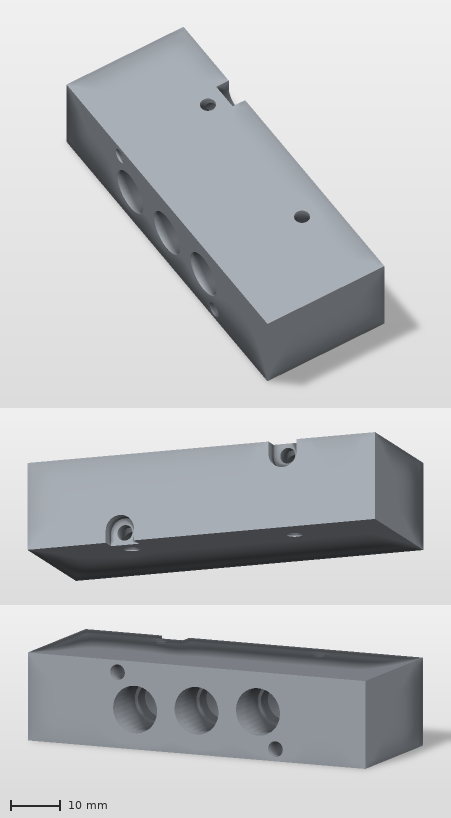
import cadquery as cq
import math

LENGTH = 74.6
WIDTH = 28.0
HEIGHT = 18.0
FRONT_Y = -WIDTH / 2
BACK_Y = WIDTH / 2

CAP_LENGTH = 12.9
BODY_LENGTH = LENGTH - 2 * CAP_LENGTH

PORT_SPACING = 13.6
PORT_RISE = 0.8
PORT_MOUTH_DIAMETER = 9.7
PORT_SEAT_DIAMETER = 9.25
PORT_MOUTH_DEPTH = 10.0
PORT_DRILL_DIAMETER = 7.9
PORT_DRILL_DEPTH = 13.4
PORT_TIP_ANGLE = 120.0
PORT_TIP_DEPTH = PORT_DRILL_DIAMETER / 2 / math.tan(math.radians(PORT_TIP_ANGLE / 2))

MOUNT_DIAMETER = 3.2
MOUNT_X = 17.45
FRONT_MOUNT_Z = 6.5
TOP_MOUNT_BACK_DISTANCE = 6.95
TOP_MOUNT_Y = BACK_Y - TOP_MOUNT_BACK_DISTANCE

RECESS_WIDTH = 6.05
RECESS_DEPTH = 3.0


def make_port_cutter(x, z):
    """Port revolved about its own axis, running from the front face towards the back."""
    profile = [
        (0, 0),
        (PORT_MOUTH_DIAMETER / 2, 0),
        (PORT_SEAT_DIAMETER / 2, PORT_MOUTH_DEPTH),
        (PORT_DRILL_DIAMETER / 2, PORT_MOUTH_DEPTH),
        (PORT_DRILL_DIAMETER / 2, PORT_DRILL_DEPTH),
        (0, PORT_DRILL_DEPTH + PORT_TIP_DEPTH),
    ]
    cutter = cq.Workplane("XY").polyline(profile).close().revolve(360, (0, 0), (0, 1))
    return cutter.translate((x, FRONT_Y, z))


def make_front_mount_cutter(side):
    """Front-to-back hole; side is -1 for the upper left hole and 1 for the lower right one."""
    hole = cq.Workplane("XZ").circle(MOUNT_DIAMETER / 2).extrude(WIDTH / 2, both=True)
    return hole.translate((side * MOUNT_X, 0, -side * FRONT_MOUNT_Z))


def make_top_mount_cutter(side):
    """Top-to-bottom hole; side is -1 for the left hole and 1 for the right one."""
    hole = cq.Workplane("XY").circle(MOUNT_DIAMETER / 2).extrude(HEIGHT / 2, both=True)
    return hole.translate((side * MOUNT_X, TOP_MOUNT_Y, 0))


def make_recess_cutter(side):
    """U-shaped recess around a front-to-back hole, open to the nearer top or bottom face."""
    x = side * MOUNT_X
    hole_z = -side * FRONT_MOUNT_Z
    face_z = -side * HEIGHT / 2
    plane = cq.Workplane("XZ", origin=(x, BACK_Y, 0))
    round_end = plane.center(0, hole_z).circle(RECESS_WIDTH / 2).extrude(RECESS_DEPTH)
    straight_end = cq.Workplane("XY").box(RECESS_WIDTH, RECESS_DEPTH, abs(face_z - hole_z))
    straight_end = straight_end.translate((x, BACK_Y - RECESS_DEPTH / 2, (face_z + hole_z) / 2))
    return round_end.union(straight_end)


def make_valve_body():
    """Centre block with three ports, four mounting holes and two recesses."""
    body = cq.Workplane("XY").box(BODY_LENGTH, WIDTH, HEIGHT)
    for step in (-1, 0, 1):
        body = body.cut(make_port_cutter(step * PORT_SPACING, step * PORT_RISE))
    for side in (-1, 1):
        body = body.cut(make_front_mount_cutter(side))
        body = body.cut(make_recess_cutter(side))
        body = body.cut(make_top_mount_cutter(side))
    return body


def make_end_cap(side):
    """Plain end block; side is -1 for the left end and 1 for the right end."""
    cap = cq.Workplane("XY").box(CAP_LENGTH, WIDTH, HEIGHT)
    return cap.translate((side * (BODY_LENGTH + CAP_LENGTH) / 2, 0, 0))


valve_body = make_valve_body()
end_caps = [make_end_cap(side) for side in (-1, 1)]

result = cq.Compound.makeCompound([valve_body.val(), *[cap.val() for cap in end_caps]])